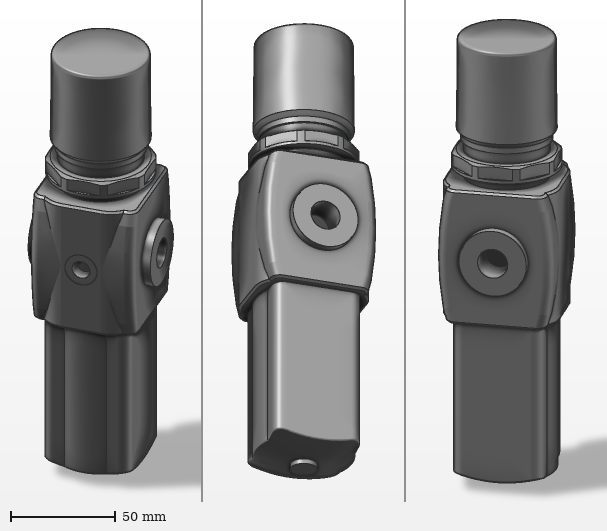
import cadquery as cq
import math

TOTAL_HEIGHT = 226.5
DRAIN_HEIGHT = 2.5
BODY_BOTTOM = 87.0
BODY_TOP = 155.5
BODY_MIDDLE = (BODY_BOTTOM + BODY_TOP) / 2
NUT_BOTTOM = 160.7
NUT_TOP = 168.8
COLLAR_BOTTOM = 174.5
COLLAR_TOP = 177.5
KNOB_BOTTOM = 180.0

BODY_WIDTH = 53.0
BODY_DEPTH = 57.0
BODY_HEIGHT = BODY_TOP - BODY_BOTTOM
BARREL_ARC_DROP = 2.3
BARREL_END_DROP = 4.0
BARREL_BAND_HEIGHT = 7.3
BARREL_CORNER_RADIUS = 4.8
FLAT_WIDTH = 20.0
SHOULDER_RADIUS = 15.5
SHOULDER_RUN = 11.0
BODY_CHAMFER = 1.1

PORT_SPAN = 62.0
PORT_DIAMETER = 33.0
PORT_BORE_DIAMETER = 14.7
PORT_BORE_DEPTH = 15.9

SEAT_DIAMETER = 16.3
SEAT_DEPTH = 0.2
HOLE_DIAMETER = 9.0
HOLE_DEPTH = 6.8
HOLE_POINT_HEIGHT = 2.7

BOWL_WIDTH = 44.5
BOWL_CORNER_RADIUS = 5.7
BULGE_WIDTH = 21.3
BOWL_DEPTH = 49.0
BOWL_DOME_RADIUS = 68.0
BOWL_EDGE_RADIUS = 1.0
DRAIN_DIAMETER = 13.0

NECK_DIAMETER = 42.0
COLLAR_DIAMETER = 44.5
KNOB_BOTTOM_DIAMETER = 48.5
KNOB_TOP_DIAMETER = 47.5
KNOB_EDGE_RADIUS = 2.0

NUT_DIAMETER = 53.0
NUT_ACROSS_FLATS = 50.3
NUT_SIDES = 8
NUT_FLANGE_HEIGHT = 1.5
NUT_CHAMFER_HEIGHT = 1.0
NUT_CHAMFER_WIDTH = 2.3


def make_barrel():
    """Block whose front and back bulge in an arc between sloped bands at both ends."""
    middle_y = BODY_DEPTH / 2
    band_y = middle_y - BARREL_ARC_DROP
    end_y = middle_y - BARREL_END_DROP
    lower_z = BODY_BOTTOM + BARREL_BAND_HEIGHT
    upper_z = BODY_TOP - BARREL_BAND_HEIGHT
    return (
        cq.Workplane("YZ")
        .moveTo(-end_y, BODY_BOTTOM)
        .lineTo(end_y, BODY_BOTTOM)
        .lineTo(band_y, lower_z)
        .threePointArc((middle_y, BODY_MIDDLE), (band_y, upper_z))
        .lineTo(end_y, BODY_TOP)
        .lineTo(-end_y, BODY_TOP)
        .lineTo(-band_y, upper_z)
        .threePointArc((-middle_y, BODY_MIDDLE), (-band_y, lower_z))
        .close()
        .extrude(BODY_WIDTH / 2, both=True)
        .faces("<X or >X")
        .edges("not(<Z or >Z)")
        .fillet(BARREL_CORNER_RADIUS)
    )


def make_pad():
    """Upright slab with flat front and back strips that roll off at both sides."""
    def fall(run):
        return SHOULDER_RADIUS - math.sqrt(SHOULDER_RADIUS**2 - run**2)

    flat_x = FLAT_WIDTH / 2
    arc_x = flat_x + SHOULDER_RUN / 2
    end_x = flat_x + SHOULDER_RUN
    flat_y = BODY_DEPTH / 2
    arc_y = flat_y - fall(SHOULDER_RUN / 2)
    end_y = flat_y - fall(SHOULDER_RUN)
    return (
        cq.Workplane("XY", origin=(0, 0, BODY_BOTTOM))
        .moveTo(-flat_x, flat_y)
        .lineTo(flat_x, flat_y)
        .threePointArc((arc_x, arc_y), (end_x, end_y))
        .lineTo(end_x, -end_y)
        .threePointArc((arc_x, -arc_y), (flat_x, -flat_y))
        .lineTo(-flat_x, -flat_y)
        .threePointArc((-arc_x, -arc_y), (-end_x, -end_y))
        .lineTo(-end_x, end_y)
        .threePointArc((-arc_x, arc_y), (-flat_x, flat_y))
        .close()
        .extrude(BODY_HEIGHT)
    )


def make_body():
    body = make_barrel().union(make_pad())
    return body.faces("<Z or >Z").edges().chamfer(BODY_CHAMFER)


def make_ports():
    return (
        cq.Workplane("YZ", origin=(0, 0, BODY_MIDDLE))
        .circle(PORT_DIAMETER / 2)
        .extrude(PORT_SPAN / 2, both=True)
    )


def make_port_bores():
    bores = cq.Workplane()
    for side in (-1, 1):
        bore = (
            cq.Workplane("YZ", origin=(side * PORT_SPAN / 2, 0, BODY_MIDDLE))
            .circle(PORT_BORE_DIAMETER / 2)
            .extrude(-side * PORT_BORE_DEPTH)
        )
        bores = bores.add(bore)
    return bores.combine()


def make_front_hole():
    """Shallow round seat and the hole in its centre, which ends in a conical point."""
    hole_radius = HOLE_DIAMETER / 2
    point_depth = HOLE_DEPTH + HOLE_POINT_HEIGHT
    profile = (
        cq.Workplane("XY", origin=(0, -BODY_DEPTH / 2, BODY_MIDDLE))
        .lineTo(SEAT_DIAMETER / 2, 0)
        .lineTo(SEAT_DIAMETER / 2, SEAT_DEPTH)
        .lineTo(hole_radius, SEAT_DEPTH)
        .lineTo(hole_radius, HOLE_DEPTH)
        .lineTo(0, point_depth)
        .close()
    )
    return profile.revolve(360, (0, 0), (0, 1))


def make_bowl():
    """Rounded square bowl with bulged front and back, closed by a shallow domed end."""
    square = (
        cq.Workplane("XY")
        .rect(BOWL_WIDTH, BOWL_WIDTH)
        .extrude(BODY_BOTTOM)
        .edges("|Z")
        .fillet(BOWL_CORNER_RADIUS)
    )
    bulge_x = BULGE_WIDTH / 2
    bulge_y = BOWL_WIDTH / 2
    bulge = (
        cq.Workplane("XY")
        .moveTo(-bulge_x, -bulge_y)
        .threePointArc((0, -BOWL_DEPTH / 2), (bulge_x, -bulge_y))
        .lineTo(bulge_x, bulge_y)
        .threePointArc((0, BOWL_DEPTH / 2), (-bulge_x, bulge_y))
        .close()
        .extrude(BODY_BOTTOM)
    )
    drain_radius = DRAIN_DIAMETER / 2
    dome_rise = BOWL_DOME_RADIUS - math.sqrt(BOWL_DOME_RADIUS**2 - drain_radius**2)
    dome_center_z = DRAIN_HEIGHT - dome_rise + BOWL_DOME_RADIUS
    dome = cq.Workplane("XY", origin=(0, 0, dome_center_z)).sphere(BOWL_DOME_RADIUS)
    bowl = square.union(bulge).intersect(dome)
    bowl = bowl.faces("%SPHERE").edges().fillet(BOWL_EDGE_RADIUS)
    drain = cq.Workplane("XY").circle(drain_radius).extrude(2 * DRAIN_HEIGHT)
    return bowl.union(drain)


def make_neck_and_knob():
    profile = (
        cq.Workplane("XZ")
        .moveTo(0, BODY_TOP)
        .lineTo(NECK_DIAMETER / 2, BODY_TOP)
        .lineTo(NECK_DIAMETER / 2, COLLAR_BOTTOM)
        .lineTo(COLLAR_DIAMETER / 2, COLLAR_BOTTOM)
        .lineTo(COLLAR_DIAMETER / 2, COLLAR_TOP)
        .lineTo(KNOB_BOTTOM_DIAMETER / 2, KNOB_BOTTOM)
        .lineTo(KNOB_TOP_DIAMETER / 2, TOTAL_HEIGHT)
        .lineTo(0, TOTAL_HEIGHT)
        .close()
    )
    return profile.revolve().edges(">Z").fillet(KNOB_EDGE_RADIUS)


def make_regulator():
    regulator = make_body().union(make_ports()).union(make_bowl()).union(make_neck_and_knob())
    return regulator.cut(make_port_bores()).cut(make_front_hole())


def make_nut():
    """Eight-sided nut with a round flange, closely fitting the neck."""
    base = cq.Workplane("XY", origin=(0, 0, NUT_BOTTOM))
    nut_height = NUT_TOP - NUT_BOTTOM
    nut_radius = NUT_DIAMETER / 2
    chamfer_radius = nut_radius - NUT_CHAMFER_WIDTH
    chamfer_z = NUT_TOP - NUT_CHAMFER_HEIGHT
    blank = (
        cq.Workplane("XZ")
        .moveTo(0, NUT_BOTTOM)
        .lineTo(nut_radius, NUT_BOTTOM)
        .lineTo(nut_radius, chamfer_z)
        .lineTo(chamfer_radius, NUT_TOP)
        .lineTo(0, NUT_TOP)
        .close()
        .revolve()
    )
    corner_diameter = NUT_ACROSS_FLATS / math.cos(math.pi / NUT_SIDES)
    octagon = (
        base.transformed(rotate=(0, 0, 180 / NUT_SIDES))
        .polygon(NUT_SIDES, corner_diameter)
        .extrude(nut_height)
    )
    flange = base.circle(nut_radius).extrude(NUT_FLANGE_HEIGHT)
    neck_hole = base.circle(NECK_DIAMETER / 2).extrude(nut_height)
    return blank.intersect(octagon).union(flange).cut(neck_hole)


regulator = make_regulator()
nut = make_nut()
result = cq.Compound.makeCompound([regulator.val(), nut.val()])